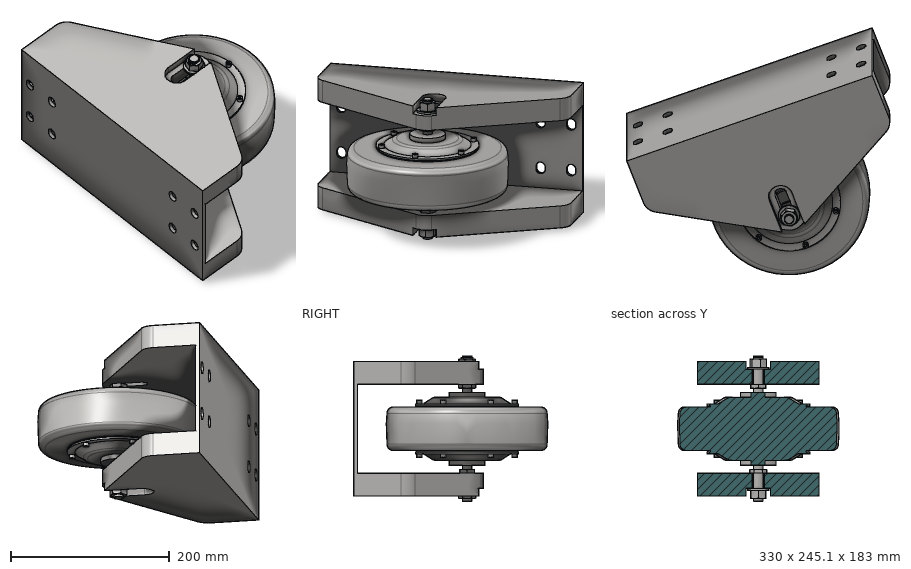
import cadquery as cq
import math


BRACKET_LENGTH = 330.0
BRACKET_HEIGHT = 170.0
ARM_THICKNESS = 29.0
PLATE_THICKNESS = 5.0
PLATE_BACK_Y = -143.0
ARM_TIP_RADIUS = 20.5
ARM_SLOPE = math.radians(30)
ARM_CORNER_RADIUS = 20.0
ARM_OUTER_Z = BRACKET_HEIGHT / 2
ARM_INNER_Z = ARM_OUTER_Z - ARM_THICKNESS

SLOT_LENGTH = 30.0
SLOT_WIDTH = 15.0
RECESS_WIDTH = 30.5
RECESS_DEPTH = 10.0
RECESS_FLOOR_Z = ARM_OUTER_Z - RECESS_DEPTH

MOUNT_HOLE_X = (110.0, 150.0)
MOUNT_HOLE_Z = 30.0
MOUNT_HOLE_WIDTH = 12.0
MOUNT_HOLE_HEIGHT = 15.0

TYRE_RADIUS = 102.06
TYRE_EDGE_RADIUS = 101.0
TYRE_WIDTH = 55.0
TYRE_FILLET = 8.0

COVER_SEAT_RADIUS = 64.0
COVER_SEAT_Z = 29.0
COVER_RADIUS = 65.0
COVER_Z = 31.5
CONE_BASE_RADIUS = 55.0
CONE_TOP_RADIUS = 42.0
CONE_TOP_Z = 40.0
CONE_FILLET = 10.0
BOSS_RADIUS = 22.5
BOSS_Z = 46.0

SCREW_COUNT = 6
SCREW_CIRCLE_RADIUS = 60.0
SCREW_FIRST_ANGLE = 30.0
SCREW_HEAD_RADIUS = 3.5
SCREW_HEAD_HEIGHT = 4.5
SCREW_SOCKET_WIDTH = 3.0
SCREW_SOCKET_DEPTH = 2.0

AXLE_RADIUS = 6.0
AXLE_LENGTH = 183.0
AXLE_CHAMFER = 0.5
COLLAR_RADIUS = 7.5
COLLAR_FLAT_WIDTH = 2 * AXLE_RADIUS
COLLAR_Z = 90.0
NUT_WIDTH = 19.0
OUTER_NUT_Z = 88.0
INNER_NUT_HEIGHT = 5.0
NUT_CHAMFER_RADIUS = 9.5
NUT_CHAMFER_ANGLE = math.radians(30)
WASHER_RADIUS = 13.5
WASHER_THICKNESS = 2.5
TOP_OUTER_NUT_ANGLE = 45.0
TOP_INNER_NUT_ANGLE = 90.0
BOTTOM_OUTER_NUT_ANGLE = 90.0
BOTTOM_INNER_NUT_ANGLE = 0.0


def disc(radius, z_low, z_high):
    return cq.Workplane("XY").workplane(offset=z_low).circle(radius).extrude(z_high - z_low)


def hexagon(width, z_low, z_high):
    corner_diameter = width / math.cos(math.pi / 6)
    return cq.Workplane("XY").workplane(offset=z_low).polygon(6, corner_diameter).extrude(z_high - z_low)


def slot_cutter(width, z_low, z_high):
    """Slot running from the axle towards the plate."""
    return (
        cq.Workplane("XY")
        .workplane(offset=z_low)
        .center(0, -SLOT_LENGTH / 2)
        .slot2D(SLOT_LENGTH + width, width, 90)
        .extrude(z_high - z_low)
    )


def mirrored_pair(upper):
    return upper.union(upper.mirror("XY"))


def make_arm():
    """Upper arm: sloped sides tangent to a round tip around the axle."""
    half_length = BRACKET_LENGTH / 2
    apex_y = ARM_TIP_RADIUS / math.cos(ARM_SLOPE)
    shoulder_y = apex_y - half_length * math.tan(ARM_SLOPE)
    tangent_x = ARM_TIP_RADIUS * math.sin(ARM_SLOPE)
    tangent_y = ARM_TIP_RADIUS * math.cos(ARM_SLOPE)
    arm = (
        cq.Workplane("XY")
        .workplane(offset=ARM_INNER_Z)
        .moveTo(-half_length, PLATE_BACK_Y)
        .lineTo(half_length, PLATE_BACK_Y)
        .lineTo(half_length, shoulder_y)
        .lineTo(tangent_x, tangent_y)
        .threePointArc((0, ARM_TIP_RADIUS), (-tangent_x, tangent_y))
        .lineTo(-half_length, shoulder_y)
        .close()
        .extrude(ARM_THICKNESS)
    )
    for side in (-1, 1):
        shoulder = cq.selectors.NearestToPointSelector(
            (side * half_length, shoulder_y, ARM_INNER_Z + ARM_THICKNESS / 2)
        )
        arm = arm.edges(shoulder).fillet(ARM_CORNER_RADIUS)
    recess = slot_cutter(RECESS_WIDTH, RECESS_FLOOR_Z, ARM_OUTER_Z)
    recess_exit = (
        cq.Workplane("XY")
        .workplane(offset=RECESS_FLOOR_Z)
        .rect(RECESS_WIDTH, 2 * apex_y)
        .extrude(RECESS_DEPTH)
    )
    slot = slot_cutter(SLOT_WIDTH, ARM_INNER_Z, ARM_OUTER_Z)
    return arm.cut(recess).cut(recess_exit).cut(slot)


def make_bracket():
    plate = cq.Workplane("XY").box(BRACKET_LENGTH, PLATE_THICKNESS, BRACKET_HEIGHT)
    plate = plate.translate((0, PLATE_BACK_Y + PLATE_THICKNESS / 2, 0))
    hole_centres = [
        (side * x, level * MOUNT_HOLE_Z)
        for x in MOUNT_HOLE_X
        for side in (-1, 1)
        for level in (-1, 1)
    ]
    holes = (
        cq.Workplane("XZ", origin=(0, PLATE_BACK_Y + PLATE_THICKNESS, 0))
        .pushPoints(hole_centres)
        .slot2D(MOUNT_HOLE_HEIGHT, MOUNT_HOLE_WIDTH, 90)
        .extrude(PLATE_THICKNESS)
    )
    return plate.cut(holes).union(mirrored_pair(make_arm()))


def make_tyre():
    """Tyre with a slightly crowned tread and rounded edges."""
    half_width = TYRE_WIDTH / 2
    tread_z = half_width - TYRE_FILLET
    side_radius = TYRE_EDGE_RADIUS - TYRE_FILLET
    bend = TYRE_FILLET * math.sqrt(0.5)
    return (
        cq.Workplane("XZ")
        .moveTo(0, -half_width)
        .lineTo(side_radius, -half_width)
        .threePointArc((side_radius + bend, -tread_z - bend), (TYRE_EDGE_RADIUS, -tread_z))
        .threePointArc((TYRE_RADIUS, 0), (TYRE_EDGE_RADIUS, tread_z))
        .threePointArc((side_radius + bend, tread_z + bend), (side_radius, half_width))
        .lineTo(0, half_width)
        .close()
        .revolve(360, (0, 0, 0), (0, 1, 0))
    )


def make_screw_heads():
    head = disc(SCREW_HEAD_RADIUS, COVER_Z, COVER_Z + SCREW_HEAD_HEIGHT)
    head_top_z = COVER_Z + SCREW_HEAD_HEIGHT
    socket = hexagon(SCREW_SOCKET_WIDTH, head_top_z - SCREW_SOCKET_DEPTH, head_top_z)
    head = head.cut(socket).translate((SCREW_CIRCLE_RADIUS, 0, 0))
    heads = cq.Workplane("XY")
    for index in range(SCREW_COUNT):
        angle = SCREW_FIRST_ANGLE + index * 360 / SCREW_COUNT
        heads = heads.add(head.rotate((0, 0, 0), (0, 0, 1), angle))
    return heads.combine()


def make_hub_side():
    """Upper half of the hub: cover, coned dome, boss and screw heads."""
    dome = (
        cq.Workplane("XZ")
        .moveTo(0, COVER_Z)
        .lineTo(CONE_BASE_RADIUS, COVER_Z)
        .lineTo(CONE_TOP_RADIUS, CONE_TOP_Z)
        .lineTo(0, CONE_TOP_Z)
        .close()
        .revolve(360, (0, 0, 0), (0, 1, 0))
        .faces(">Z")
        .edges()
        .fillet(CONE_FILLET)
    )
    return (
        disc(COVER_SEAT_RADIUS, 0, COVER_SEAT_Z)
        .union(disc(COVER_RADIUS, COVER_SEAT_Z, COVER_Z))
        .union(dome)
        .union(disc(BOSS_RADIUS, COVER_Z, BOSS_Z))
        .union(make_screw_heads())
    )


def make_nut(height):
    """Hexagon nut standing on Z = 0 with a conical chamfer on its top corners."""
    cone_height = NUT_CHAMFER_RADIUS * math.tan(NUT_CHAMFER_ANGLE)
    cone_base_radius = NUT_CHAMFER_RADIUS + height / math.tan(NUT_CHAMFER_ANGLE)
    envelope = (
        cq.Workplane("XZ")
        .lineTo(cone_base_radius, 0)
        .lineTo(0, height + cone_height)
        .close()
        .revolve(360, (0, 0, 0), (0, 1, 0))
    )
    return hexagon(NUT_WIDTH, 0, height).intersect(envelope)


def make_fasteners(outer_angle, inner_angle):
    """Washer, outer nut and inner nut clamping the upper arm."""
    axis_start = (0, 0, 0)
    axis_end = (0, 0, 1)
    washer_top_z = RECESS_FLOOR_Z + WASHER_THICKNESS
    washer = disc(WASHER_RADIUS, RECESS_FLOOR_Z, washer_top_z)
    outer_nut = make_nut(OUTER_NUT_Z - washer_top_z).rotate(axis_start, axis_end, outer_angle)
    outer_nut = outer_nut.translate((0, 0, washer_top_z))
    inner_nut = make_nut(INNER_NUT_HEIGHT).rotate(axis_start, axis_end, inner_angle)
    inner_nut = inner_nut.mirror("XY").translate((0, 0, ARM_INNER_Z))
    return washer.union(outer_nut).union(inner_nut)


def make_axle():
    axle = disc(AXLE_RADIUS, -AXLE_LENGTH / 2, AXLE_LENGTH / 2)
    axle = axle.faces("<Z").edges().chamfer(AXLE_CHAMFER)
    flats = cq.Workplane("XY").box(COLLAR_FLAT_WIDTH, 2 * COLLAR_RADIUS, AXLE_LENGTH)
    collar = disc(COLLAR_RADIUS, OUTER_NUT_Z, COLLAR_Z).intersect(flats)
    return axle.union(collar)


top_fasteners = make_fasteners(TOP_OUTER_NUT_ANGLE, TOP_INNER_NUT_ANGLE)
bottom_fasteners = make_fasteners(BOTTOM_OUTER_NUT_ANGLE, BOTTOM_INNER_NUT_ANGLE).mirror("XY")

result = (
    make_tyre()
    .union(mirrored_pair(make_hub_side()))
    .union(make_axle())
    .union(top_fasteners)
    .union(bottom_fasteners)
    .union(make_bracket())
)